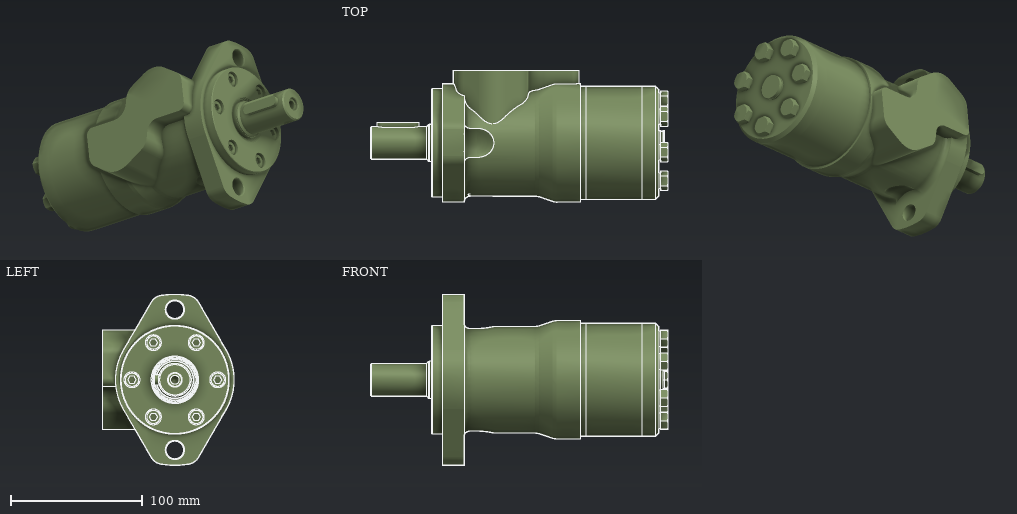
import cadquery as cq
import math


cover_x = 46.5
flange_x = 54.6
flange_back_x = 71.2
cone_start_x = 126.7
cone_end_x = 139.8
housing_end_x = 159.5
plate_end_x = 163.4
gear_end_x = 206.0
end_cover_x = 218.7
total_length = 225.77

pilot_dia = 82.5
pilot_chamfer = 0.5
body_radius = 45.0
neck_radius = 40.5
neck_fillet = body_radius - neck_radius
cone_blend = 9.0

flange_height = 129.82
flange_thickness = flange_back_x - flange_x
flank_angle = 30.0
ear_corner_radius = 11.0
mount_hole_dia = 13.35
mount_hole_chamfer = 0.6
mount_hole_z = 53.2
scallop_radius = 18.0
scallop_end_x = 80.9

block_top_y = 55.0
block_left_x = 62.6
block_right_x = 158.4
block_mid_x = (block_left_x + block_right_x) / 2
block_shelf_z = 5.0
block_side_draft = math.tan(math.radians(7.0))
lobe_slope = math.tan(math.radians(31.0))
lobe_offset = 17.95
lobe_ridge_z = 41.1
lobe_ridge_radius = 19.6
upper_wall_x = 11.4
lower_wall_x = 13.4
shoulder_radius = 11.0
upper_valley_radius = 11.5
lower_valley_radius = 9.5
shelf_corner_radius = 5.3

front_bolt_count = 6
front_bolt_circle_radius = 32.5
recess_dia = 12.0
recess_depth = 6.0
front_head_dia = 10.0
front_head_sink = 2.0
socket_across_flats = 5.4
socket_depth = 2.5

seal_steps = [(36.0, 0.5), (34.3, 1.0), (32.6, 1.5), (30.8, 2.0)]

shaft_dia = 25.0
shaft_chamfer = 1.0
journal_dia = 28.56
shoulder_dia = 28.0
shoulder_x = 42.7
shoulder_end_x = 44.1
journal_x = 45.0
center_bore_dia = 10.0
center_bore_chamfer = 0.5
center_bore_depth = 2.0
tap_drill_dia = 6.65
tap_drill_depth = 16.0
drill_tip_angle = 118.0
key_x = 5.0
key_length = 32.0
key_width = 8.0
key_height = 7.0
key_top_y = 15.5

gear_dia = 86.0
end_chamfer = 2.6
rear_bolt_count = 7
rear_bolt_circle_radius = 31.9
hex_across_flats = 13.0
washer_dia = 11.9
washer_height = 1.4
hex_corner_angle = 30.0
plug_dia = 18.63
plug_end_x = 222.9
plug_groove_dia = 18.0
plug_groove_x = 219.8
plug_groove_width = 2.0


def disc(x, length, dia, y=0.0, z=0.0):
    """Cylinder along X that starts at x."""
    return cq.Workplane("YZ", origin=(x, y, z)).circle(dia / 2).extrude(length)


def ring_positions(count, radius):
    """Y, Z places evenly spread on a circle, the first one on +Y."""
    step = 2 * math.pi / count
    return [(radius * math.cos(i * step), radius * math.sin(i * step)) for i in range(count)]


def hexagon(x, length, across_flats, y, z):
    """Hexagonal prism along X with corners towards +Y and -Y."""
    across_corners = across_flats / math.cos(math.pi / 6)
    return cq.Workplane("YZ", origin=(x, y, z)).polygon(6, across_corners).extrude(length)


def make_flange():
    """Round middle with two ears that taper at the flank angle to a blunt round tip."""
    angle = math.radians(flank_angle)
    tangent_y = body_radius * math.cos(angle)
    tangent_z = body_radius * math.sin(angle)
    tip_radius = flange_height / 2
    corner_z = tip_radius
    corner_y = (body_radius - corner_z * math.sin(angle)) / math.cos(angle)
    plate = (
        cq.Workplane("YZ", origin=(flange_x, 0, 0))
        .moveTo(tangent_y, -tangent_z)
        .threePointArc((body_radius, 0), (tangent_y, tangent_z))
        .lineTo(corner_y, corner_z)
        .lineTo(-corner_y, corner_z)
        .lineTo(-tangent_y, tangent_z)
        .threePointArc((-body_radius, 0), (-tangent_y, -tangent_z))
        .lineTo(-corner_y, -corner_z)
        .lineTo(corner_y, -corner_z)
        .close()
        .extrude(flange_thickness)
    )
    upper_ear = cq.selectors.BoxSelector(
        (flange_x - 1, -body_radius, body_radius), (flange_back_x + 1, body_radius, corner_z + 1)
    )
    lower_ear = cq.selectors.BoxSelector(
        (flange_x - 1, -body_radius, -corner_z - 1), (flange_back_x + 1, body_radius, -body_radius)
    )
    plate = plate.intersect(disc(flange_x, flange_thickness, 2 * tip_radius))
    return plate.edges("|X").edges(upper_ear + lower_ear).fillet(ear_corner_radius)


def make_barrel():
    """Pilot cover, neck and rear drum turned about X."""
    pilot_radius = pilot_dia / 2
    fillet_mid = neck_fillet * (1 - math.sqrt(0.5))
    barrel = (
        cq.Workplane("XY")
        .moveTo(cover_x, 0)
        .lineTo(cover_x, pilot_radius - pilot_chamfer)
        .lineTo(cover_x + pilot_chamfer, pilot_radius)
        .lineTo(flange_x, pilot_radius)
        .lineTo(flange_back_x, neck_radius + neck_fillet)
        .threePointArc(
            (flange_back_x + fillet_mid, neck_radius + fillet_mid),
            (flange_back_x + neck_fillet, neck_radius),
        )
        .lineTo(cone_start_x, neck_radius)
        .lineTo(cone_end_x, body_radius)
        .lineTo(housing_end_x, body_radius)
        .lineTo(housing_end_x, 0)
        .close()
        .revolve(360, (0, 0, 0), (1, 0, 0))
    )
    cone_ends = cq.selectors.BoxSelector(
        (cone_start_x - 1, -pilot_dia, -pilot_dia),
        (cone_end_x + 1, pilot_dia, pilot_dia),
        boundingbox=True,
    )
    return barrel.edges("%CIRCLE").edges(cone_ends).fillet(cone_blend)


def half_block_outline(wall_x, valley_radius):
    """Corners and radii of the upper half of the port block, seen about its own middle."""
    half = block_mid_x - block_left_x
    ridge_x = -lobe_offset
    side_top_x = (block_side_draft * (lobe_ridge_z - lobe_slope * ridge_x) - half) / (
        1 - block_side_draft * lobe_slope
    )
    side_top_z = lobe_ridge_z + lobe_slope * (side_top_x - ridge_x)
    wall_top_z = (lobe_ridge_z - lobe_slope * (wall_x - ridge_x)) / (
        1 - lobe_slope * block_side_draft
    )
    wall_top_x = wall_x - block_side_draft * wall_top_z
    wall_foot_x = wall_x - block_side_draft * block_shelf_z
    return [
        (side_top_x, side_top_z, shoulder_radius),
        (ridge_x, lobe_ridge_z, lobe_ridge_radius),
        (wall_top_x, wall_top_z, shoulder_radius),
        (wall_foot_x, block_shelf_z, valley_radius),
        (half + block_side_draft * block_shelf_z, block_shelf_z, shelf_corner_radius),
    ]


def make_port_block():
    """Block with two lobes, the lower one turned half a turn from the upper."""
    upper = half_block_outline(upper_wall_x, upper_valley_radius)
    lower = half_block_outline(lower_wall_x, lower_valley_radius)
    corners = upper + [(-x, -z, r) for x, z, r in lower]
    block = (
        cq.Workplane("XZ", origin=(block_mid_x, 0, 0))
        .polyline([(x, z) for x, z, r in corners])
        .close()
        .extrude(-block_top_y)
    )
    for x, z, r in corners:
        near = cq.selectors.NearestToPointSelector((block_mid_x + x, block_top_y / 2, z))
        block = block.edges("|Y").edges(near).fillet(r)
    return block


def make_scallop(side):
    """Round-ended clearance behind the mounting hole on one side."""
    z = side * mount_hole_z
    groove = disc(flange_back_x, scallop_end_x - flange_back_x, 2 * scallop_radius, z=z)
    return groove.union(cq.Workplane("XY", origin=(scallop_end_x, 0, z)).sphere(scallop_radius)).cut(
        disc(0, flange_back_x, 4 * scallop_radius, z=z)
    )


def make_mount_hole(side):
    """Through hole in an ear, chamfered at the front."""
    z = side * mount_hole_z
    hole_radius = mount_hole_dia / 2
    mouth = (
        cq.Workplane("XY", origin=(flange_x, 0, z))
        .polyline([(0, 0), (0, hole_radius + mount_hole_chamfer), (mount_hole_chamfer, hole_radius)])
        .lineTo(mount_hole_chamfer, 0)
        .close()
        .revolve(360, (0, 0, 0), (1, 0, 0))
    )
    return disc(flange_x, flange_thickness, mount_hole_dia, z=z).union(mouth)


def make_housing():
    housing = make_barrel().union(make_flange()).union(make_port_block())
    for side in (1, -1):
        housing = housing.cut(make_scallop(side)).cut(make_mount_hole(side))
    for y, z in ring_positions(front_bolt_count, front_bolt_circle_radius):
        head_x = cover_x + front_head_sink
        head = disc(head_x, recess_depth - front_head_sink, front_head_dia, y, z)
        head = head.cut(hexagon(head_x, socket_depth, socket_across_flats, y, z))
        housing = housing.cut(disc(cover_x, recess_depth, recess_dia, y, z)).union(head)
    for dia, depth in seal_steps:
        housing = housing.cut(disc(cover_x, depth, dia))
    return housing.cut(disc(cover_x, flange_back_x - cover_x, journal_dia))


def make_key():
    return (
        cq.Workplane("XZ", origin=(key_x + key_length / 2, key_top_y, 0))
        .slot2D(key_length, key_width)
        .extrude(key_height)
    )


def make_shaft(key):
    """Keyed shaft end, shoulder and journal, with a tapped centre hole."""
    radius = shaft_dia / 2
    journal_radius = journal_dia / 2
    shaft = (
        cq.Workplane("XY")
        .moveTo(0, 0)
        .lineTo(0, radius - shaft_chamfer)
        .lineTo(shaft_chamfer, radius)
        .lineTo(shoulder_x, radius)
        .lineTo(shoulder_end_x, shoulder_dia / 2)
        .lineTo(journal_x, shoulder_dia / 2)
        .lineTo(journal_x, journal_radius)
        .lineTo(flange_back_x, journal_radius)
        .lineTo(flange_back_x, 0)
        .close()
        .revolve(360, (0, 0, 0), (1, 0, 0))
    )
    bore_radius = center_bore_dia / 2
    drill_radius = tap_drill_dia / 2
    tip_length = drill_radius / math.tan(math.radians(drill_tip_angle / 2))
    center_hole = (
        cq.Workplane("XY")
        .moveTo(0, 0)
        .lineTo(0, bore_radius + center_bore_chamfer)
        .lineTo(center_bore_chamfer, bore_radius)
        .lineTo(center_bore_depth, bore_radius)
        .lineTo(center_bore_depth, drill_radius)
        .lineTo(tap_drill_depth, drill_radius)
        .lineTo(tap_drill_depth + tip_length, 0)
        .close()
        .revolve(360, (0, 0, 0), (1, 0, 0))
    )
    return shaft.cut(center_hole).cut(key)


def make_rear_bolt(y, z):
    """Washer face and hexagon head whose outer corners are turned off."""
    hex_x = end_cover_x + washer_height
    head = hexagon(hex_x, total_length - hex_x, hex_across_flats, y, z)
    corner_radius = hex_across_flats / 2 / math.cos(math.pi / 6)
    corner_drop = (corner_radius - hex_across_flats / 2) * math.tan(math.radians(hex_corner_angle))
    turned = (
        cq.Workplane("XY", origin=(0, y, z))
        .moveTo(hex_x, 0)
        .lineTo(hex_x, corner_radius)
        .lineTo(total_length - corner_drop, corner_radius)
        .lineTo(total_length, hex_across_flats / 2)
        .lineTo(total_length, 0)
        .close()
        .revolve(360, (0, 0, 0), (1, 0, 0))
    )
    return head.intersect(turned).union(disc(end_cover_x, washer_height, washer_dia, y, z))


def make_end_cover():
    """End cover with its bolt heads and the grooved centre plug."""
    cover = disc(gear_end_x, end_cover_x - gear_end_x, gear_dia).faces(">X").chamfer(end_chamfer)
    plug = disc(end_cover_x, plug_end_x - end_cover_x, plug_dia)
    groove = disc(plug_groove_x, plug_groove_width, plug_dia).cut(
        disc(plug_groove_x, plug_groove_width, plug_groove_dia)
    )
    cover = cover.union(plug.cut(groove))
    for y, z in ring_positions(rear_bolt_count, rear_bolt_circle_radius):
        cover = cover.union(make_rear_bolt(y, z))
    return cover


key = make_key()
shaft = make_shaft(key)
housing = make_housing()
spacer_plate = disc(housing_end_x, plate_end_x - housing_end_x, gear_dia)
gear_set = disc(plate_end_x, gear_end_x - plate_end_x, gear_dia)
end_cover = make_end_cover()

result = cq.Compound.makeCompound(
    [housing.val(), shaft.val(), key.val(), spacer_plate.val(), gear_set.val(), end_cover.val()]
)